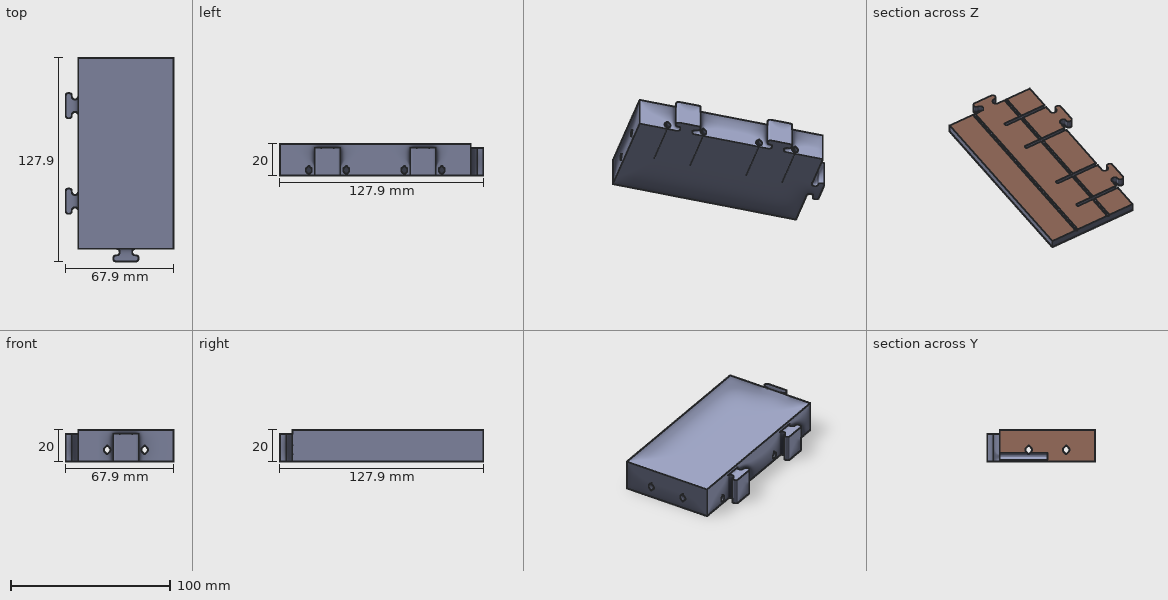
import cadquery as cq
import math

body_width = 60.0
body_length = 120.0
body_height = 20.0

tab_reach = 7.9
tab_height = 17.4
tab_head_width = 16.0
tab_neck_width = tab_head_width / 2
tab_corner_radius = 1.8

cord_diameter = 4.0
cord_spacing = 23.5
front_cord_height = 7.4
side_cord_height = 3.5
side_cord_depth = body_width / 2

front_tab_x = body_width / 2
side_tab_ys = (body_length / 4, body_length * 3 / 4)


def make_tab():
    """Tab pointing along -Y from the origin: a rounded head on a neck with rounded inside corners."""
    head_tip = tab_head_width / 2
    neck_side = tab_neck_width / 2
    head_back = -tab_reach / 2
    radius = tab_corner_radius
    half_tab = (
        cq.Workplane("XY")
        .lineTo(neck_side + radius, 0)
        .radiusArc((neck_side, -radius), -radius)
        .lineTo(neck_side, head_back + radius)
        .radiusArc((neck_side + radius, head_back), -radius)
        .lineTo(head_tip - radius, head_back)
        .radiusArc((head_tip, head_back - radius), radius)
        .lineTo(head_tip, -tab_reach + radius)
        .radiusArc((head_tip - radius, -tab_reach), radius)
        .lineTo(0, -tab_reach)
        .close()
        .extrude(tab_height)
    )
    return half_tab.union(half_tab.mirror("YZ")).clean()


def make_cord_hole(depth):
    """Cutter running along +Y from the origin."""
    square_side = cord_diameter
    square = cq.Workplane("XZ").rect(square_side, square_side).extrude(-depth)
    square = square.rotate((0, 0, 0), (0, 1, 0), 45)
    trim_height = cord_diameter * math.sqrt(2)
    trim = cq.Workplane("XZ").rect(square_side / math.sqrt(2), trim_height).extrude(-depth)
    round_hole = cq.Workplane("XZ").circle(cord_diameter / 2).extrude(-depth)
    return round_hole.union(square.intersect(trim))


def turn_to_left_side(shape):
    """Turn a shape from the front side to the left side, so that -Y becomes -X."""
    return shape.rotate((0, 0, 0), (0, 0, 1), -90)


def cord_offsets():
    """Cord holes lie in pairs, one on each side of a tab."""
    return (-cord_spacing / 2, cord_spacing / 2)


result = cq.Workplane("XY").box(body_width, body_length, body_height, centered=False)

result = result.union(make_tab().translate((front_tab_x, 0, 0)))
for offset in cord_offsets():
    hole = make_cord_hole(body_length)
    result = result.cut(hole.translate((front_tab_x + offset, 0, front_cord_height)))

for tab_y in side_tab_ys:
    result = result.union(turn_to_left_side(make_tab()).translate((0, tab_y, 0)))
    for offset in cord_offsets():
        hole = turn_to_left_side(make_cord_hole(side_cord_depth))
        result = result.cut(hole.translate((0, tab_y + offset, side_cord_height)))